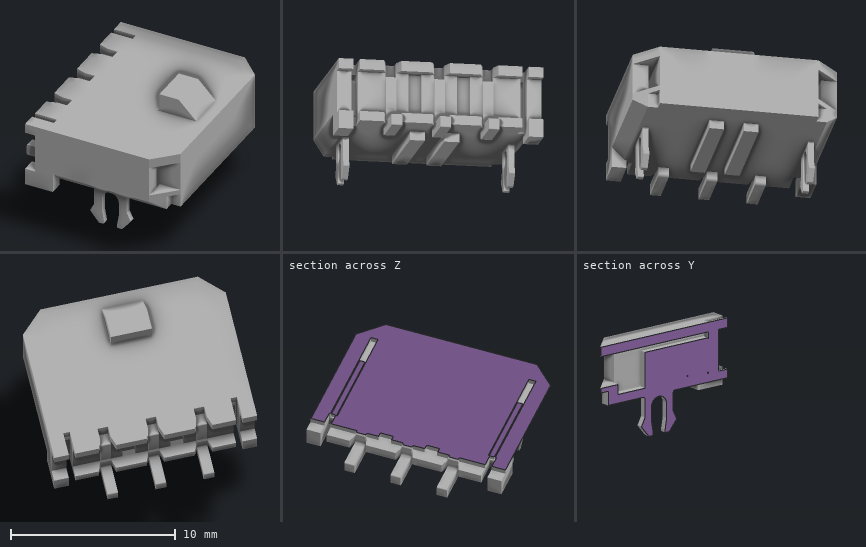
import cadquery as cq
import math


body_length = 9.9
body_width = 12.65
body_height = 3.83
half_width = body_width / 2
corner_chamfer = 1.42
bottom_bevel = 0.78

groove_depth = 0.68
groove_bottom = 0.58
groove_top = 3.2

foot_length = 1.9
foot_width = 0.91
standoff_height = 0.55
rail_start = 2.16
rail_length = 6.05
rail_width = 0.91
rail_offset = 1.06

latch_rear = 6.58
latch_top_length = 1.32
latch_height = 1.21
latch_width = 2.57
latch_fillet = 0.24

pin_pitch = 3.0
pin_positions = [-pin_pitch, 0, pin_pitch]
pin_width = 0.66
pin_tail = 1.44
pin_foot_top = 0.14
pin_foot_bottom = -0.58
pin_rear = 0.55
pin_front = 1.32
pin_top = 2.95
pin_edge_radius = 0.09
pin_bend_inner = 0.11
pin_bend_outer = 0.23
pin_step_rear = 0.45
pin_step_bottom = 0.78
pin_step_top = 0.92

funnel_depth = 0.63
funnel_width = 1.09
web_recess_width = 0.81
web_recess_depth = 0.32

lock_slot_length = 1.49
lock_slot_width = 0.4
channel_outer = 5.34
channel_inner = half_width - corner_chamfer
corner_pocket_bottom = 1.21
corner_relief_length = 0.63
corner_relief_height = 0.9
lock_thickness = 0.37
lock_outer = 5.3
lock_plate_top = 2.86
lock_plate_chamfer = 0.09
lock_center = 5.31
stem_half_width = 1.11
stem_fillet = 0.13
barb_half_width = 1.39
barb_start = -1.29
barb_widest = -1.85
lock_tip = -2.57
leg_corner_radius = 0.08
tip_outer_half = 0.8
tip_inner_half = 0.44
tip_corner_height = 0.2
slot_half_width = 0.57
slot_taper_start = -1.65
slot_arc_top = -0.16
slot_arc_start = slot_arc_top - slot_half_width


def box(x_range, y_range, z_range):
    """Box spanning the given (low, high) pairs."""
    spans = (x_range, y_range, z_range)
    sizes = [high - low for low, high in spans]
    corner = tuple(low for low, high in spans)
    return cq.Workplane("XY").box(*sizes, centered=False).translate(corner)


def both_sides(shape):
    """The shape together with its mirror image across the middle plane."""
    return shape.union(shape.mirror("XZ"))


def extrude_side_profile(profile, width):
    """Extrude an XZ profile symmetrically about the middle plane."""
    return profile.extrude(width / 2, both=True)


def arc_middle_inset(radius):
    """Distance from each side of a square corner to the middle of its fillet arc."""
    return radius * (1 - math.cos(math.radians(45)))


def make_housing():
    housing = box((0, body_length), (-half_width, half_width), (0, body_height))
    housing = housing.edges("|Z and >X").chamfer(corner_chamfer)
    groove = box((0, groove_depth), (-half_width, half_width), (groove_bottom, groove_top))
    return housing.cut(groove)


def make_bottom_bevel():
    """Wedge removed along the lower edge of one side wall."""
    return (
        cq.Workplane("YZ")
        .moveTo(-half_width, 0)
        .lineTo(-half_width + bottom_bevel, 0)
        .lineTo(-half_width, bottom_bevel)
        .close()
        .extrude(body_length - foot_length)
        .translate((foot_length, 0, 0))
    )


def make_foot():
    return box(
        (0, foot_length),
        (-half_width, -half_width + foot_width),
        (-standoff_height, groove_bottom),
    )


def make_rail():
    return box(
        (rail_start, rail_start + rail_length),
        (rail_offset - rail_width / 2, rail_offset + rail_width / 2),
        (-standoff_height, 0),
    )


def make_latch():
    ramp_start = latch_rear + latch_top_length
    latch_top = body_height + latch_height
    fillet_top = body_height + latch_fillet
    arc_inset = arc_middle_inset(latch_fillet)
    profile = (
        cq.Workplane("XZ")
        .moveTo(latch_rear - latch_fillet, body_height)
        .threePointArc((latch_rear - arc_inset, body_height + arc_inset), (latch_rear, fillet_top))
        .lineTo(latch_rear, latch_top)
        .lineTo(ramp_start, latch_top)
        .lineTo(ramp_start + latch_height, body_height)
        .close()
    )
    return extrude_side_profile(profile, latch_width)


def make_pin_opening(y_center):
    """Slot through both lips with a funnel mouth at the rear."""
    return (
        cq.Workplane("XY")
        .moveTo(0, -funnel_width / 2)
        .lineTo(funnel_depth, -pin_width / 2)
        .lineTo(pin_front, -pin_width / 2)
        .lineTo(pin_front, pin_width / 2)
        .lineTo(funnel_depth, pin_width / 2)
        .lineTo(0, funnel_width / 2)
        .close()
        .extrude(body_height)
        .translate((0, y_center, 0))
    )


def make_pin(y_center):
    """L-shaped pin: an upright against the rear wall and a solder tail."""
    tail = box((-pin_tail, pin_front), (-pin_width / 2, pin_width / 2), (pin_foot_bottom, pin_foot_top))
    tail = tail.edges("|Y and <X").fillet(pin_edge_radius)
    tail = tail.edges("|Y and >X and <Z").fillet(pin_bend_outer)
    profile = (
        cq.Workplane("XZ")
        .moveTo(pin_front, pin_foot_top)
        .lineTo(pin_front, pin_top)
        .lineTo(pin_rear, pin_top)
        .lineTo(pin_rear, pin_step_top)
        .lineTo(pin_step_rear, pin_step_bottom)
        .lineTo(pin_step_rear, pin_foot_top)
        .close()
    )
    upright = extrude_side_profile(profile, pin_width)
    upright = upright.edges("|Y and >Z").fillet(pin_edge_radius)
    inner_bend = cq.selectors.NearestToPointSelector((pin_step_rear, 0, pin_foot_top))
    pin = tail.union(upright).edges(inner_bend).fillet(pin_bend_inner)
    return pin.translate((0, y_center, 0))


def make_web_recess(y_center):
    """Shallow recess in the rear wall midway between two pins."""
    return box(
        (groove_depth, groove_depth + web_recess_depth),
        (y_center - web_recess_width / 2, y_center + web_recess_width / 2),
        (groove_bottom, groove_top),
    )


def make_side_cuts():
    """Lock slot, lock channel and front corner pockets on one side."""
    slot_outer = -half_width + foot_width
    pocket_rear = body_length - corner_chamfer
    lock_slot = box((0, lock_slot_length), (slot_outer, slot_outer + lock_slot_width), (0, body_height))
    channel = box(
        (lock_slot_length, pocket_rear),
        (-channel_outer, -channel_inner),
        (groove_bottom, groove_top),
    )
    pocket = box(
        (pocket_rear, body_length),
        (-half_width, -channel_inner),
        (corner_pocket_bottom, groove_top),
    )
    relief = box(
        (body_length - corner_relief_length, body_length),
        (-half_width, -channel_inner),
        (0, corner_relief_height),
    )
    return lock_slot.union(channel).union(pocket).union(relief)


def make_lock():
    """Flat board lock: a plate held in the channel and two barbed legs."""
    stem_front = lock_center + stem_half_width
    lock_y = -lock_outer + lock_thickness / 2
    plate = box(
        (lock_slot_length, stem_front),
        (-lock_outer, -lock_outer + lock_thickness),
        (groove_bottom, lock_plate_top),
    )
    plate = plate.edges("|Y and <X").chamfer(lock_plate_chamfer)

    arc_inset = arc_middle_inset(stem_fillet)
    half_outline = (
        cq.Workplane("XZ")
        .moveTo(0, groove_bottom)
        .lineTo(stem_half_width + stem_fillet, groove_bottom)
        .lineTo(stem_half_width + stem_fillet, 0)
        .threePointArc((stem_half_width + arc_inset, -arc_inset), (stem_half_width, -stem_fillet))
        .lineTo(stem_half_width, barb_start)
        .lineTo(barb_half_width, barb_widest)
        .lineTo(tip_outer_half, lock_tip)
        .lineTo(tip_inner_half, lock_tip)
        .lineTo(tip_inner_half, lock_tip + tip_corner_height)
        .lineTo(slot_half_width, slot_taper_start)
        .lineTo(slot_half_width, slot_arc_start)
        .lineTo(0, slot_arc_start)
        .close()
    )
    half_leg = extrude_side_profile(half_outline, lock_thickness)
    rounded_corners = [
        (stem_half_width, barb_start),
        (barb_half_width, barb_widest),
        (tip_outer_half, lock_tip),
        (tip_inner_half, lock_tip),
    ]
    for x, z in rounded_corners:
        corner_edge = cq.selectors.NearestToPointSelector((x, 0, z))
        half_leg = half_leg.edges("|Y").edges(corner_edge).fillet(leg_corner_radius)
    legs = half_leg.union(half_leg.mirror("YZ"))
    slot_crown = (
        cq.Workplane("XZ")
        .moveTo(-slot_half_width, slot_arc_start)
        .threePointArc((0, slot_arc_top), (slot_half_width, slot_arc_start))
        .close()
    )
    legs = legs.cut(extrude_side_profile(slot_crown, lock_thickness))
    return plate.union(legs.translate((lock_center, lock_y, 0)))


result = make_housing().cut(both_sides(make_bottom_bevel())).union(both_sides(make_foot()))
result = result.union(both_sides(make_rail())).union(make_latch())
result = result.cut(both_sides(make_side_cuts()))

for pin_y in pin_positions:
    result = result.cut(make_pin_opening(pin_y)).union(make_pin(pin_y))

for left_pin, right_pin in zip(pin_positions, pin_positions[1:]):
    result = result.cut(make_web_recess((left_pin + right_pin) / 2))

result = result.union(both_sides(make_lock()))